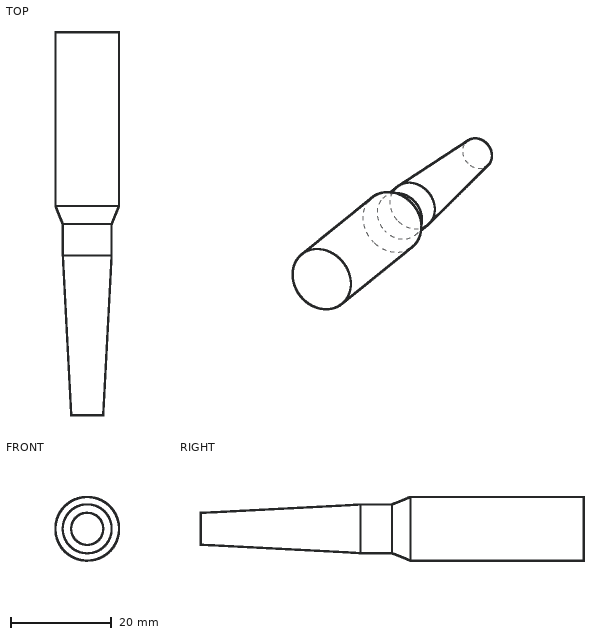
import cadquery as cq

total_length = 76.2
barrel_length = 34.5
shoulder_length = 3.65
collar_length = 6.25

barrel_diameter = 12.7
collar_diameter = 9.75
tip_end_diameter = 6.4

collar_start = total_length - barrel_length - shoulder_length - collar_length
shoulder_start = collar_start + collar_length
barrel_start = shoulder_start + shoulder_length

barrel_radius = barrel_diameter / 2
collar_radius = collar_diameter / 2
tip_end_radius = tip_end_diameter / 2


def revolve_about_y(profile_points):
    """Revolve a closed (radius, y) half-profile one full turn about the Y axis."""
    profile = cq.Workplane("XY").polyline(profile_points).close()
    return profile.revolve(360, (0, 0, 0), (0, 1, 0))


def make_handle():
    """Cylindrical barrel, conical shoulder and narrower collar."""
    return revolve_about_y([
        (0, collar_start),
        (collar_radius, collar_start),
        (collar_radius, shoulder_start),
        (barrel_radius, barrel_start),
        (barrel_radius, total_length),
        (0, total_length),
    ])


def make_tip():
    """Tapered tip that meets the collar face at its full diameter."""
    return revolve_about_y([
        (0, 0),
        (tip_end_radius, 0),
        (collar_radius, collar_start),
        (0, collar_start),
    ])


handle = make_handle()
tip = make_tip()

result = cq.Compound.makeCompound([handle.val(), tip.val()])